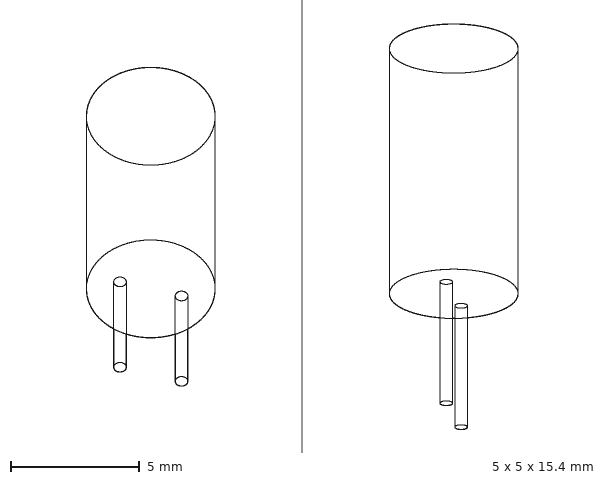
import cadquery as cq

overall_height = 15.4
can_diameter = 5.0
can_height = 10.3
lead_diameter = 0.5
lead_spacing = 2.5

lead_length = overall_height - can_height


def make_can():
    """Cylindrical can standing on the plane Z = 0."""
    return cq.Workplane("XY").circle(can_diameter / 2).extrude(can_height)


def make_lead(x):
    """Round lead hanging from the flat underside of the can."""
    return cq.Workplane("XY").center(x, 0).circle(lead_diameter / 2).extrude(-lead_length)


can = make_can()
leads = [make_lead(side * lead_spacing / 2) for side in (-1, 1)]

result = cq.Compound.makeCompound([can.val(), *[lead.val() for lead in leads]])